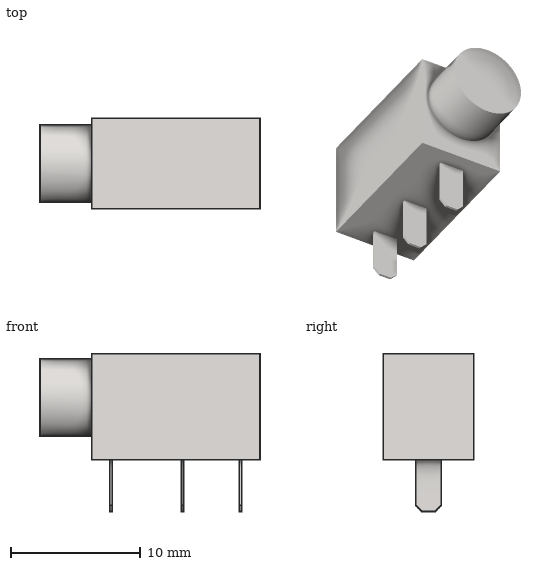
import cadquery as cq

total_length = 17.0
body_width = 7.0
total_height = 12.2

barrel_diameter = 6.0
barrel_length = 4.0
barrel_axis_below_top = 3.4

pin_length = 4.0
pin_width = 2.0
pin_thickness = 0.2
pin_tip_chamfer = 0.5
pin_setbacks = (1.5, 7.0, 11.5)

body_length = total_length - barrel_length
body_height = total_height - pin_length


def make_body():
    """Rectangular housing with its front face at X = 0 and its bottom at Z = 0."""
    return cq.Workplane("XY").box(body_length, body_width, body_height, centered=(False, True, False))


def make_barrel():
    """Solid cylinder standing out from the front face toward -X."""
    return (
        cq.Workplane("YZ")
        .center(0, body_height - barrel_axis_below_top)
        .circle(barrel_diameter / 2)
        .extrude(-barrel_length)
    )


def make_pin(setback):
    """Flat pin hanging below the body, with both corners of its tip cut off."""
    return (
        cq.Workplane("XY")
        .box(pin_thickness, pin_width, pin_length, centered=(True, True, False))
        .faces("<Z")
        .edges("|X")
        .chamfer(pin_tip_chamfer)
        .translate((setback, 0, -pin_length))
    )


result = make_body().union(make_barrel())
for pin_setback in pin_setbacks:
    result = result.union(make_pin(pin_setback))